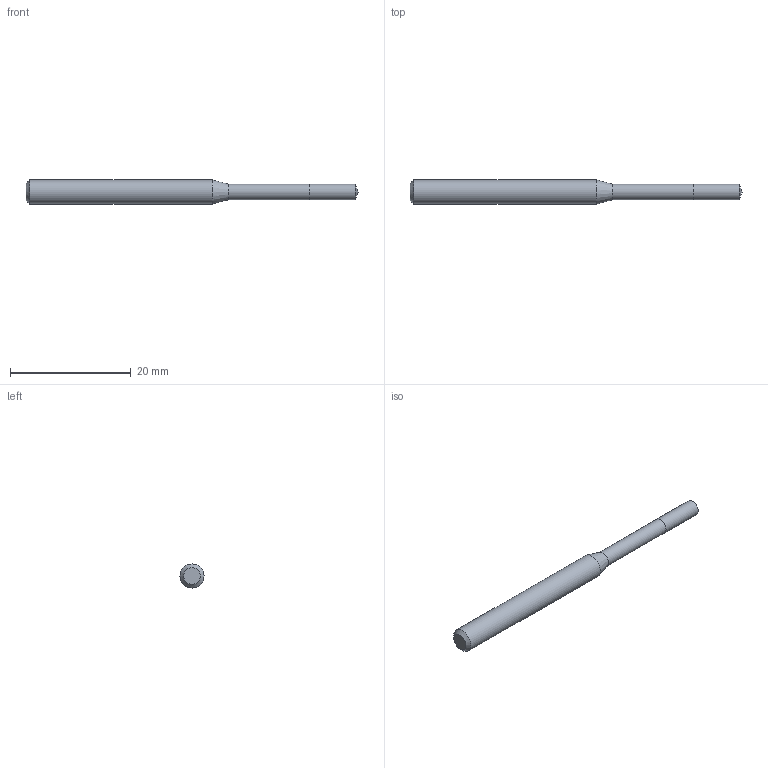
import cadquery as cq
import math

overall_length = 55.0
shank_diameter = 4.0
drill_diameter = 2.6
end_chamfer = 0.6
neck_end = 33.5
cutting_length = 8.0
shoulder_half_angle = 15.0
point_angle = 140.0

shank_radius = shank_diameter / 2
drill_radius = drill_diameter / 2
shoulder_length = (shank_radius - drill_radius) / math.tan(math.radians(shoulder_half_angle))
shoulder_start = neck_end - shoulder_length
joint_position = overall_length - cutting_length
point_length = drill_radius / math.tan(math.radians(point_angle / 2))
point_start = overall_length - point_length


def turn_about_x(profile):
    """Revolve a closed half profile in the XY plane into a solid about the X axis."""
    return profile.revolve(360, (0, 0, 0), (1, 0, 0))


def make_shank():
    """Chamfered shank with a conical shoulder and a slim neck up to the joint."""
    profile = (
        cq.Workplane("XY")
        .moveTo(0, 0)
        .lineTo(0, shank_radius - end_chamfer)
        .lineTo(end_chamfer, shank_radius)
        .lineTo(shoulder_start, shank_radius)
        .lineTo(neck_end, drill_radius)
        .lineTo(joint_position, drill_radius)
        .lineTo(joint_position, 0)
        .close()
    )
    return turn_about_x(profile)


def make_cutting_tip():
    """Cylindrical cutting end with a blunt conical point."""
    profile = (
        cq.Workplane("XY")
        .moveTo(joint_position, 0)
        .lineTo(joint_position, drill_radius)
        .lineTo(point_start, drill_radius)
        .lineTo(overall_length, 0)
        .close()
    )
    return turn_about_x(profile)


shank = make_shank()
cutting_tip = make_cutting_tip()

result = cq.Compound.makeCompound([shank.val(), cutting_tip.val()])